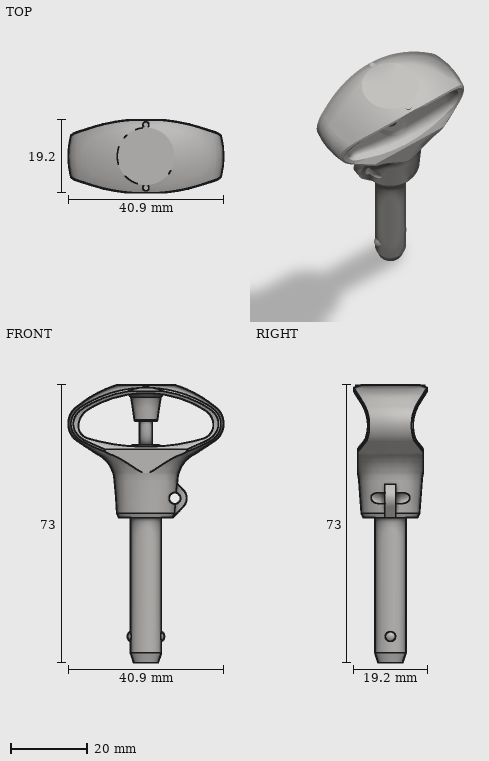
import cadquery as cq
import math

SHANK_DIAMETER = 8.2
TIP_RADIUS = 3.2
TIP_LENGTH = 2.6
BALL_RADIUS = 1.4
BALL_HEIGHT = 6.9
BALL_REACH = 4.9

COLLAR_BOTTOM = 38.1
COLLAR_BOTTOM_RADIUS = 7.1
COLLAR_EDGE_HEIGHT = 1.2
COLLAR_LOWER_RADIUS = 7.7
COLLAR_TOP = 48.0
COLLAR_TOP_RADIUS = 8.3

TOP = 73
TOP_FLAT_RADIUS = 7.5
HANDLE_RADIUS = 20.45
SIDE_ARC_HEIGHT = 62.8
SIDE_ARC_RADIUS = 5.5
DOME_ANGLE = 50
FLANK_ANGLE = -56.5
FLANK_BOTTOM = (13.0, 54.9)
NECK_MIDDLE = (9.5, 51.8)

LOWER_HALF_WIDTH = 8.6
LOWER_FLAT_TOP = 56.15
WAIST_HALF_WIDTH = 6.0
WAIST_HEIGHT = 62.35
WAIST_RADIUS = 10.95
WAIST_LOWER_ANGLE = 200.5
WAIST_UPPER_ANGLE = 147.5
WAIST_LOWER_BLEND = 2.2
HANDLE_DEPTH = 19.2
UPPER_FLAT_BOTTOM = 71.25
RIM_CHAMFER = 0.5

OPENING_TOP = 70.8
OPENING_BOTTOM = 56.7
OPENING_HALF_LENGTH = 17.7
OPENING_END_HEIGHT = WAIST_HEIGHT
OPENING_UPPER_CORNER = (15.3, 66.35)
OPENING_LOWER_CORNER = (15.05, 58.9)

BUTTON_BOTTOM = 63.45
BUTTON_BOTTOM_RADIUS = 2.85
BUTTON_EDGE_HEIGHT = 0.4
BUTTON_LOWER_RADIUS = 3.1
BUTTON_FLARE_BOTTOM = 69.7
BUTTON_UPPER_RADIUS = 3.95
BUTTON_FLARE_RADIUS = 4.9
BUTTON_TOP = 70.95
ROD_DIAMETER = 3.4
RING_BOTTOM_RADIUS = 4.6
RING_TOP_RADIUS = 3.2
RING_TOP = 57.3
RING_DEPTH = 0.7

PEG_RADIUS = 0.8
PEG_OFFSET = 8.25
PEG_TOP = 72.9
PEG_DEPTH = 1.45

TAB_HOLE_X = 7.6
TAB_HOLE_HEIGHT = 43.2
TAB_HOLE_RADIUS = 1.45
TAB_RADIUS = 3.15
TAB_THICKNESS = 2.9
TAB_TOP = 46.95
TAB_UPPER_ANGLE = 42
TAB_LOWER_ANGLE = -44
HOLE_CENTRE = (TAB_HOLE_X, 0, TAB_HOLE_HEIGHT)


def revolve_about_z(profile):
    """Spin a closed (radius, z) profile about the Z axis."""
    return profile.close().revolve(360, (0, 0, 0), (0, 1, 0))


def point_on_circle(centre, radius, degrees):
    angle = math.radians(degrees)
    return (centre[0] + radius * math.cos(angle), centre[1] + radius * math.sin(angle))


def make_turned_handle():
    side_centre = (HANDLE_RADIUS - SIDE_ARC_RADIUS, SIDE_ARC_HEIGHT)
    flank_top = point_on_circle(side_centre, SIDE_ARC_RADIUS, FLANK_ANGLE)
    dome_end = point_on_circle(side_centre, SIDE_ARC_RADIUS, DOME_ANGLE)
    return revolve_about_z(
        cq.Workplane("YZ")
        .moveTo(0, COLLAR_TOP)
        .lineTo(COLLAR_TOP_RADIUS, COLLAR_TOP)
        .threePointArc(NECK_MIDDLE, FLANK_BOTTOM)
        .lineTo(*flank_top)
        .threePointArc((HANDLE_RADIUS, SIDE_ARC_HEIGHT), dome_end)
        .tangentArcPoint((TOP_FLAT_RADIUS, TOP), relative=False)
        .lineTo(0, TOP)
    )


def make_waisted_bar():
    """Bar along X whose front and back narrow to a waist at mid-height."""
    arc_centre = (WAIST_HALF_WIDTH + WAIST_RADIUS, WAIST_HEIGHT)
    waist_bottom = point_on_circle(arc_centre, WAIST_RADIUS, WAIST_LOWER_ANGLE)
    waist_top = point_on_circle(arc_centre, WAIST_RADIUS, WAIST_UPPER_ANGLE)
    half_bar = (
        cq.Workplane("YZ")
        .moveTo(0, COLLAR_TOP)
        .lineTo(LOWER_HALF_WIDTH, COLLAR_TOP)
        .lineTo(LOWER_HALF_WIDTH, LOWER_FLAT_TOP)
        .lineTo(*waist_bottom)
        .threePointArc((WAIST_HALF_WIDTH, WAIST_HEIGHT), waist_top)
        .lineTo(HANDLE_DEPTH / 2, UPPER_FLAT_BOTTOM)
        .lineTo(HANDLE_DEPTH / 2, TOP)
        .lineTo(0, TOP)
        .close()
        .extrude(HANDLE_RADIUS, both=True)
        .edges(cq.NearestToPointSelector((0, *waist_bottom)))
        .fillet(WAIST_LOWER_BLEND)
    )
    return half_bar.union(half_bar.mirror("XZ"))


def make_handle():
    """Turned handle cut to the waisted bar, with its curved rims chamfered."""
    handle = make_turned_handle().intersect(make_waisted_bar())
    rim_edges = [
        edge
        for edge in handle.edges().vals()
        if edge.geomType() in ("BSPLINE", "HYPERBOLA")
        and LOWER_FLAT_TOP < edge.Center().z < UPPER_FLAT_BOTTOM
    ]
    return handle.newObject(rim_edges).chamfer(RIM_CHAMFER)


def make_opening():
    """Oval finger opening, right through the handle from front to back."""
    upper_x, upper_z = OPENING_UPPER_CORNER
    lower_x, lower_z = OPENING_LOWER_CORNER
    return (
        cq.Workplane("XZ")
        .moveTo(-lower_x, lower_z)
        .threePointArc((0, OPENING_BOTTOM), (lower_x, lower_z))
        .tangentArcPoint((OPENING_HALF_LENGTH, OPENING_END_HEIGHT), relative=False)
        .tangentArcPoint((upper_x, upper_z), relative=False)
        .threePointArc((0, OPENING_TOP), (-upper_x, upper_z))
        .tangentArcPoint((-OPENING_HALF_LENGTH, OPENING_END_HEIGHT), relative=False)
        .tangentArcPoint((-lower_x, lower_z), relative=False)
        .close()
        .extrude(HANDLE_RADIUS, both=True)
    )


def make_collar():
    return revolve_about_z(
        cq.Workplane("YZ")
        .moveTo(0, COLLAR_BOTTOM)
        .lineTo(COLLAR_BOTTOM_RADIUS, COLLAR_BOTTOM)
        .lineTo(COLLAR_LOWER_RADIUS, COLLAR_BOTTOM + COLLAR_EDGE_HEIGHT)
        .lineTo(COLLAR_TOP_RADIUS, COLLAR_TOP)
        .lineTo(0, COLLAR_TOP)
    )


def make_shank():
    shank = revolve_about_z(
        cq.Workplane("YZ")
        .lineTo(TIP_RADIUS, 0)
        .lineTo(SHANK_DIAMETER / 2, TIP_LENGTH)
        .lineTo(SHANK_DIAMETER / 2, COLLAR_BOTTOM)
        .lineTo(0, COLLAR_BOTTOM)
    )
    for side in (-1, 1):
        ball = cq.Workplane("XY").sphere(BALL_RADIUS)
        shank = shank.union(ball.translate((side * (BALL_REACH - BALL_RADIUS), 0, BALL_HEIGHT)))
    return shank


def make_button():
    """Push button hanging from the roof of the opening, its rod and the seat ring of the rod."""
    return revolve_about_z(
        cq.Workplane("YZ")
        .moveTo(0, OPENING_BOTTOM - RING_DEPTH)
        .lineTo(RING_BOTTOM_RADIUS, OPENING_BOTTOM - RING_DEPTH)
        .lineTo(RING_BOTTOM_RADIUS, OPENING_BOTTOM)
        .lineTo(RING_TOP_RADIUS, RING_TOP)
        .lineTo(ROD_DIAMETER / 2, RING_TOP)
        .lineTo(ROD_DIAMETER / 2, BUTTON_BOTTOM)
        .lineTo(BUTTON_BOTTOM_RADIUS, BUTTON_BOTTOM)
        .lineTo(BUTTON_LOWER_RADIUS, BUTTON_BOTTOM + BUTTON_EDGE_HEIGHT)
        .lineTo(BUTTON_UPPER_RADIUS, BUTTON_FLARE_BOTTOM)
        .lineTo(BUTTON_FLARE_RADIUS, BUTTON_TOP)
        .lineTo(0, BUTTON_TOP)
    )


def make_pegs():
    """Two round pegs, in front of and behind the flat top."""
    return (
        cq.Workplane("XY", origin=(0, 0, PEG_TOP - PEG_DEPTH))
        .pushPoints([(0, -PEG_OFFSET), (0, PEG_OFFSET)])
        .circle(PEG_RADIUS)
        .extrude(PEG_DEPTH)
    )


def make_tab():
    """Flat plate beside the collar, rounded about the lanyard hole."""
    round_end = (
        cq.Workplane("XZ", origin=HOLE_CENTRE)
        .circle(TAB_RADIUS)
        .extrude(TAB_THICKNESS / 2, both=True)
    )
    upper_tangent = point_on_circle((TAB_HOLE_X, TAB_HOLE_HEIGHT), TAB_RADIUS, TAB_UPPER_ANGLE)
    lower_tangent = point_on_circle((TAB_HOLE_X, TAB_HOLE_HEIGHT), TAB_RADIUS, TAB_LOWER_ANGLE)
    web = (
        cq.Workplane("XZ")
        .moveTo(0, COLLAR_BOTTOM)
        .lineTo(COLLAR_BOTTOM_RADIUS, COLLAR_BOTTOM)
        .lineTo(*lower_tangent)
        .lineTo(*upper_tangent)
        .lineTo(COLLAR_TOP_RADIUS, TAB_TOP)
        .lineTo(0, TAB_TOP)
        .close()
        .extrude(TAB_THICKNESS / 2, both=True)
    )
    return web.union(round_end)


def make_lanyard_hole():
    return (
        cq.Workplane("XZ", origin=HOLE_CENTRE)
        .circle(TAB_HOLE_RADIUS)
        .extrude(COLLAR_TOP_RADIUS, both=True)
    )


head = make_handle().cut(make_opening()).union(make_button()).union(make_pegs())
pin = make_collar().union(make_shank()).union(make_tab()).cut(make_lanyard_hole())
result = head.union(pin)